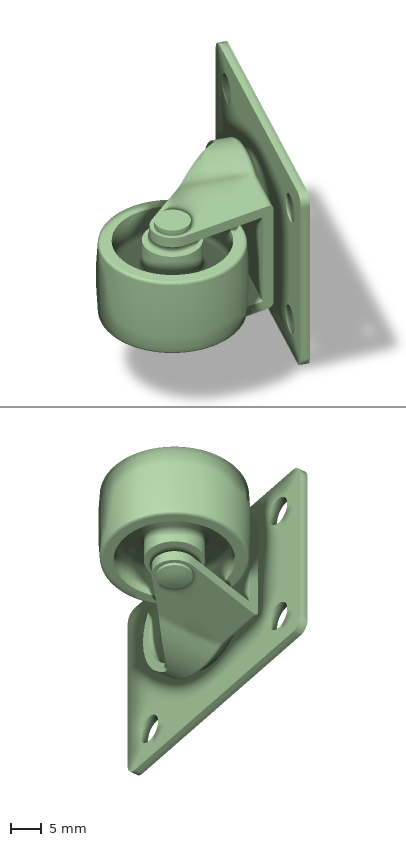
import cadquery as cq
import math


overall_length = 52.45
overall_depth = 33.45

plate_length = 48.0
plate_height = 34.0
plate_thickness = 1.55
plate_corner_radius = 2.0
mount_hole_diameter = 5.0
mount_hole_pitch_x = 36.0
mount_hole_pitch_z = 22.05

boss_diameter = 19.0
boss_fillet = 0.9

fork_depth = 3.45
cup_depth = 7.5
cup_radius = 11.5
cup_wall = 1.55
leg_outer = 10.1
leg_wall = 1.85
web_thickness = 2.0
fork_edge_fillet = 1.0
bend_radius = 3.0
leg_root_x = 14.95
leg_slope_x = -4.55
leg_slope_radius = 3.0
leg_eye_radius = 3.7

axle_diameter = 5.0
axle_head_diameter = 6.05
axle_head_height = 1.0
rivet_rim_height = 0.5

wheel_radius = 12.5
wheel_width = 14.1
tread_edge_radius = 12.1
tread_edge_fillet = 0.5
rim_inner_radius = 9.9
hub_radius = 5.0
hub_width = 14.55
disc_thickness = 3.65
recess_fillet = 1.0

axle_x = overall_length - plate_length / 2 - wheel_radius
axle_depth = overall_depth - wheel_radius
axle_y = -axle_depth


def make_plate():
    plate = (
        cq.Workplane("XZ")
        .rect(plate_length, plate_height)
        .extrude(plate_thickness)
        .edges("|Y")
        .fillet(plate_corner_radius)
    )
    holes = (
        cq.Workplane("XZ")
        .rect(mount_hole_pitch_x, mount_hole_pitch_z, forConstruction=True)
        .vertices()
        .circle(mount_hole_diameter / 2)
        .extrude(plate_thickness)
    )
    return plate.cut(holes)


def make_boss():
    return (
        cq.Workplane("XZ", origin=(0, -plate_thickness, 0))
        .circle(boss_diameter / 2)
        .extrude(fork_depth - plate_thickness)
        .faces(">Y")
        .edges()
        .fillet(boss_fillet)
    )


def keyhole_prism(round_radius, half_height, end_x, start_depth, end_depth):
    """Prism along -Y: a round end about the Y axis, blended into parallel sides up to end_x."""
    blend_z = half_height + bend_radius
    center_distance = round_radius + bend_radius
    blend_x = math.sqrt(center_distance**2 - blend_z**2)
    tangent_x = blend_x * round_radius / center_distance
    tangent_z = blend_z * round_radius / center_distance
    middle_angle = (math.atan2(-blend_z, -blend_x) - math.pi / 2) / 2
    middle_x = blend_x + bend_radius * math.cos(middle_angle)
    middle_z = blend_z + bend_radius * math.sin(middle_angle)
    return (
        cq.Workplane("XZ", origin=(0, -start_depth, 0))
        .moveTo(end_x, half_height)
        .lineTo(blend_x, half_height)
        .threePointArc((middle_x, middle_z), (tangent_x, tangent_z))
        .threePointArc((-round_radius, 0), (tangent_x, -tangent_z))
        .threePointArc((middle_x, -middle_z), (blend_x, -half_height))
        .lineTo(end_x, -half_height)
        .close()
        .extrude(end_depth - start_depth)
    )


def eye_tangent_point(x, y, side):
    """Where the line from (x, y) touches the leg eye; side +1 or -1 picks the tangent."""
    dx = x - axle_x
    dy = y - axle_y
    angle = math.atan2(dy, dx) + side * math.acos(leg_eye_radius / math.hypot(dx, dy))
    return (
        axle_x + leg_eye_radius * math.cos(angle),
        axle_y + leg_eye_radius * math.sin(angle),
    )


def make_side_profile():
    """Side shape of the fork, as a prism along Z wider than the fork."""
    rear_tangent = eye_tangent_point(leg_root_x, -fork_depth, -1)
    front_tangent = eye_tangent_point(leg_slope_x, -cup_depth, 1)
    eye_angle = math.atan2(
        rear_tangent[1] + front_tangent[1] - 2 * axle_y,
        rear_tangent[0] + front_tangent[0] - 2 * axle_x,
    )
    eye_bottom = (
        axle_x + leg_eye_radius * math.cos(eye_angle),
        axle_y + leg_eye_radius * math.sin(eye_angle),
    )
    return (
        cq.Workplane("XY")
        .moveTo(-cup_radius, -fork_depth)
        .lineTo(leg_root_x, -fork_depth)
        .lineTo(*rear_tangent)
        .threePointArc(eye_bottom, front_tangent)
        .lineTo(leg_slope_x, -cup_depth)
        .lineTo(-cup_radius, -cup_depth)
        .close()
        .extrude(cup_radius, both=True)
        .edges(cq.selectors.NearestToPointSelector((leg_slope_x, -cup_depth, 0)))
        .fillet(leg_slope_radius)
    )


def make_fork():
    end_x = axle_x + leg_eye_radius
    end_depth = axle_depth + leg_eye_radius
    outside = (
        keyhole_prism(cup_radius, leg_outer, end_x, fork_depth, end_depth)
        .faces(">Y")
        .edges("not(>X)")
        .fillet(fork_edge_fillet)
    )
    inside = keyhole_prism(
        cup_radius - cup_wall,
        leg_outer - leg_wall,
        end_x,
        fork_depth + web_thickness,
        end_depth,
    )
    return outside.cut(inside).intersect(make_side_profile())


def make_axle():
    """Axle with a flat head above the upper leg and a domed rivet below the lower leg."""
    shaft_radius = axle_diameter / 2
    head_radius = axle_head_diameter / 2
    dome_height = axle_head_height - rivet_rim_height
    dome_radius = (head_radius**2 + dome_height**2) / (2 * dome_height)
    rivet_rim = -leg_outer - rivet_rim_height
    rivet_end = -leg_outer - axle_head_height
    dome_center = rivet_end + dome_radius
    dome_middle = (
        head_radius / 2,
        dome_center - math.sqrt(dome_radius**2 - (head_radius / 2) ** 2),
    )
    return (
        cq.Workplane("XZ")
        .moveTo(0, leg_outer + axle_head_height)
        .lineTo(head_radius, leg_outer + axle_head_height)
        .lineTo(head_radius, leg_outer)
        .lineTo(shaft_radius, leg_outer)
        .lineTo(shaft_radius, -leg_outer)
        .lineTo(head_radius, -leg_outer)
        .lineTo(head_radius, rivet_rim)
        .threePointArc(dome_middle, (0, rivet_end))
        .close()
        .revolve(360, (0, 0, 0), (0, 1, 0))
        .translate((axle_x, axle_y, 0))
    )


def make_frame():
    return make_plate().union(make_boss()).union(make_fork()).union(make_axle())


def axle_cylinder(radius, bottom, top):
    """Cylinder about the wheel axis between two Z levels."""
    return cq.Workplane("XY", origin=(axle_x, axle_y, bottom)).circle(radius).extrude(top - bottom)


def make_tread():
    """Solid crowned barrel with rounded edges."""
    half_width = wheel_width / 2
    return (
        cq.Workplane("XZ")
        .moveTo(0, -half_width)
        .lineTo(tread_edge_radius, -half_width)
        .threePointArc((wheel_radius, 0), (tread_edge_radius, half_width))
        .lineTo(0, half_width)
        .close()
        .revolve(360, (0, 0, 0), (0, 1, 0))
        .faces("|Z")
        .edges()
        .fillet(tread_edge_fillet)
        .translate((axle_x, axle_y, 0))
    )


def make_recess():
    """Ring-shaped recess in the wheel's upper side, with a rounded floor."""
    floor = disc_thickness / 2
    top = hub_width / 2
    ring = axle_cylinder(rim_inner_radius, floor, top).cut(axle_cylinder(hub_radius, floor, top))
    return ring.faces("<Z").edges().fillet(recess_fillet)


def make_wheel():
    half_hub = hub_width / 2
    recess = make_recess()
    return (
        make_tread()
        .cut(recess)
        .cut(recess.mirror("XY"))
        .union(axle_cylinder(hub_radius, -half_hub, half_hub))
        .cut(axle_cylinder(axle_diameter / 2, -half_hub, half_hub))
    )


frame = make_frame()
wheel = make_wheel()

result = cq.Compound.makeCompound([frame.val(), wheel.val()])